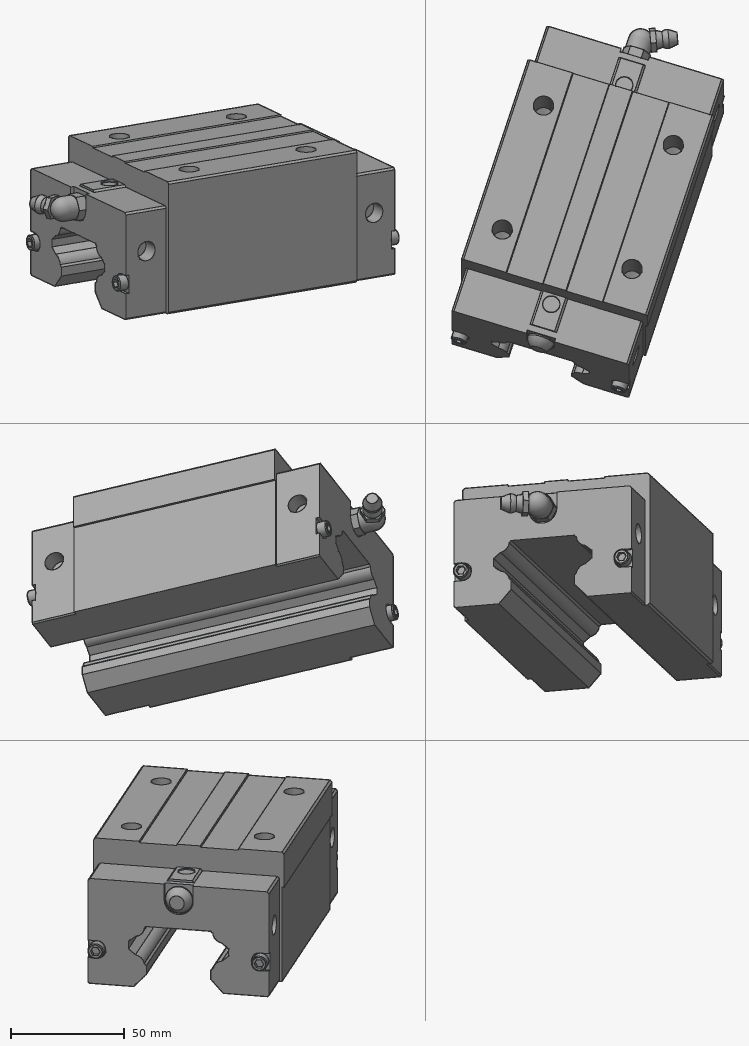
import cadquery as cq
import math

block_width = 86.0
block_length = 96.5
block_height = 60.5
block_chamfer = 1.0
reference_step_depth = 1.0
reference_step_height = 44.2

groove_inner_x = 5.2
groove_outer_x = 22.4
groove_depth = 0.6
groove_flank = 0.3

mount_spacing = 60.0
mount_diameter = 8.8
mount_depth = 17.0
drill_tip_angle = 118.0

cap_width = 81.7
cap_height = 49.0
cap_top_chamfer = 1.0
cap_bottom_chamfer = 0.6
cap_length = 16.2
plate_thickness = 4.4
cap_end_y = block_length / 2 + cap_length
plate_end_y = cap_end_y + plate_thickness

pad_width = 12.3
pad_height = 1.0
port_diameter = 7.5
port_depth = 0.6
port_y = 53.0

side_hole_diameter = 8.8
side_hole_depth = 7.9
side_hole_y = 58.4
side_hole_z = 30.0

recess_depth = 1.5
recess_floor_y = plate_end_y - recess_depth
grease_recess_radius = 6.5
grease_z = 41.8

screw_x = 36.9
screw_z = 16.1
screw_head_radius = 3.5
screw_recess_radius = 4.1
screw_protrusion = 2.8
screw_chamfer = 0.5
socket_diameter = 4.3
socket_depth = 1.9

base_hex_diameter = 12.3
base_hex_length = 4.5
elbow_radius = 5.5
elbow_center_y = -76.8
arm_angle = 22.5
arm_hex_diameter = 11.0
arm_hex_start = 4.3
arm_hex_end = 6.8
arm_neck_start_radius = 4.3
arm_neck_end = 9.6
arm_neck_radius = 3.5
arm_crown_position = 10.9
arm_crown_radius = 4.1
arm_bulge_end = 12.3
arm_bulge_radius = 4.3
arm_length = 16.2
arm_tip_radius = 2.7

plug_radius = 6.2
plug_rim_length = 0.6
plug_shoulder_radius = 5.4
plug_shoulder_length = 2.7
plug_top_radius = 3.3
plug_length = 4.9

channel_mouth_x = 20.2
channel_throat_x = 14.5
channel_throat_z = (6.2, 10.3)
channel_roof_z = 28.5
channel_roof_chamfer = 1.0
lip_x = 15.5
lip_round_x = 16.7
lip_root_x = 19.4
groove_bottom_x = 22.5
groove_bottom_half_height = 1.7
groove_center_z = 19.2
lip_root_rise = 4.3
lip_round_rise = 5.7
lip_edge_rise = 8.0


def extrude_along_y(points, length):
    """Extrude a closed XZ outline by the given length, centred on Y = 0."""
    return cq.Workplane("XZ").polyline(points).close().extrude(length / 2, both=True)


def box_between(x_range, y_range, z_range):
    size = [high - low for low, high in (x_range, y_range, z_range)]
    corner = (x_range[0], y_range[0], z_range[0])
    return cq.Workplane("XY").box(*size, centered=False).translate(corner)


def cylinder_along_y(radius, x, z, y_start, y_end):
    plane = cq.Workplane("XZ", origin=(x, y_start, z))
    return plane.circle(radius).extrude(y_start - y_end)


def make_block():
    half = block_width / 2
    lower_left = -half + reference_step_depth
    block = extrude_along_y([
        (lower_left, 0),
        (half - block_chamfer, 0),
        (half, block_chamfer),
        (half, block_height - block_chamfer),
        (half - block_chamfer, block_height),
        (-half + block_chamfer, block_height),
        (-half, block_height - block_chamfer),
        (-half, reference_step_height),
        (lower_left, reference_step_height),
    ], block_length)
    groove_floor = block_height - groove_depth
    for side in (-1, 1):
        block = block.cut(extrude_along_y([
            (side * groove_inner_x, block_height),
            (side * (groove_inner_x + groove_flank), groove_floor),
            (side * (groove_outer_x - groove_flank), groove_floor),
            (side * groove_outer_x, block_height),
        ], block_length))
    return block


def make_mounting_holes():
    radius = mount_diameter / 2
    tip_length = radius / math.tan(math.radians(drill_tip_angle / 2))
    drill = (
        cq.Workplane("XZ")
        .moveTo(0, block_height)
        .lineTo(radius, block_height)
        .lineTo(radius, block_height - mount_depth)
        .lineTo(0, block_height - mount_depth - tip_length)
        .close()
        .revolve(360, (0, 0, 0), (0, 1, 0))
    )
    half = mount_spacing / 2
    holes = cq.Workplane("XY")
    for x in (-half, half):
        for y in (-half, half):
            holes = holes.add(drill.translate((x, y, 0)))
    return holes.combine()


def make_caps():
    half = cap_width / 2
    caps = extrude_along_y([
        (-half + cap_bottom_chamfer, 0),
        (half - cap_bottom_chamfer, 0),
        (half, cap_bottom_chamfer),
        (half, cap_height - cap_top_chamfer),
        (half - cap_top_chamfer, cap_height),
        (-half + cap_top_chamfer, cap_height),
        (-half, cap_height - cap_top_chamfer),
        (-half, cap_bottom_chamfer),
    ], 2 * plate_end_y)
    pad_half = pad_width / 2
    pads = extrude_along_y([
        (-pad_half, cap_height),
        (pad_half, cap_height),
        (pad_half - pad_height, cap_height + pad_height),
        (-pad_half + pad_height, cap_height + pad_height),
    ], 2 * cap_end_y)
    return caps.union(pads)


def cut_cap_ports(body):
    port_floor = cap_height + pad_height - port_depth
    ports = (
        cq.Workplane("XY", origin=(0, 0, port_floor))
        .pushPoints([(0, -port_y), (0, port_y)])
        .circle(port_diameter / 2)
        .extrude(port_depth)
    )
    body = body.cut(ports)
    for side in (-1, 1):
        side_holes = (
            cq.Workplane("YZ", origin=(side * cap_width / 2, 0, 0))
            .pushPoints([(-side_hole_y, side_hole_z), (side_hole_y, side_hole_z)])
            .circle(side_hole_diameter / 2)
            .extrude(-side * side_hole_depth)
        )
        body = body.cut(side_holes)
    return body


def make_channel():
    low, high = channel_throat_z
    groove_low = groove_center_z - groove_bottom_half_height
    groove_high = groove_center_z + groove_bottom_half_height
    half_channel = (
        cq.Workplane("XZ")
        .lineTo(channel_mouth_x, 0)
        .lineTo(channel_throat_x, low)
        .lineTo(channel_throat_x, high)
        .lineTo(lip_x, groove_center_z - lip_edge_rise)
        .threePointArc(
            (lip_round_x, groove_center_z - lip_round_rise),
            (lip_root_x, groove_center_z - lip_root_rise),
        )
        .lineTo(groove_bottom_x, groove_low)
        .lineTo(groove_bottom_x, groove_high)
        .lineTo(lip_root_x, groove_center_z + lip_root_rise)
        .threePointArc(
            (lip_round_x, groove_center_z + lip_round_rise),
            (lip_x, groove_center_z + lip_edge_rise),
        )
        .lineTo(lip_x, channel_roof_z - channel_roof_chamfer)
        .lineTo(lip_x - channel_roof_chamfer, channel_roof_z)
        .lineTo(0, channel_roof_z)
        .close()
        .extrude(plate_end_y, both=True)
    )
    return half_channel.union(half_channel.mirror("YZ"))


def cut_plate_recesses(body, end):
    """Cut the open-sided recesses in the end plate at end = -1 (-Y) or +1 (+Y)."""
    y_floor = end * recess_floor_y
    y_face = end * plate_end_y
    y_range = sorted((y_floor, y_face))
    grease_x_range = (-grease_recess_radius, grease_recess_radius)
    body = body.cut(cylinder_along_y(grease_recess_radius, 0, grease_z, y_floor, y_face))
    body = body.cut(box_between(grease_x_range, y_range, (grease_z, cap_height)))
    screw_z_range = (screw_z - screw_recess_radius, screw_z + screw_recess_radius)
    for side in (-1, 1):
        x = side * screw_x
        x_range = sorted((x, side * cap_width / 2))
        body = body.cut(cylinder_along_y(screw_recess_radius, x, screw_z, y_floor, y_face))
        body = body.cut(box_between(x_range, y_range, screw_z_range))
    return body


def make_screw_head(x, end):
    y_seat = end * recess_floor_y
    y_top = end * (plate_end_y + screw_protrusion)
    top_face = ">Y" if end > 0 else "<Y"
    head = cylinder_along_y(screw_head_radius, x, screw_z, y_seat, y_top)
    head = head.faces(top_face).chamfer(screw_chamfer)
    socket = (
        cq.Workplane("XZ", origin=(x, y_top, screw_z))
        .polygon(6, socket_diameter)
        .extrude(end * socket_depth)
    )
    return head.cut(socket)


def make_nipple_arm():
    """Arm along local +Z, starting at the centre of the elbow dome."""
    hexagon = (
        cq.Workplane("XY", origin=(0, 0, arm_hex_start))
        .polygon(6, arm_hex_diameter)
        .extrude(arm_hex_end - arm_hex_start)
    )
    stem = (
        cq.Workplane("XZ")
        .moveTo(0, arm_hex_start)
        .lineTo(arm_neck_start_radius, arm_hex_start)
        .lineTo(arm_neck_start_radius, arm_hex_end)
        .lineTo(arm_neck_radius, arm_neck_end)
        .threePointArc((arm_crown_radius, arm_crown_position), (arm_bulge_radius, arm_bulge_end))
        .lineTo(arm_tip_radius, arm_length)
        .lineTo(0, arm_length)
        .close()
        .revolve(360, (0, 0, 0), (0, 1, 0))
    )
    return stem.union(hexagon)


def make_nipple():
    seat_y = -recess_floor_y
    base = (
        cq.Workplane("XZ", origin=(0, seat_y, grease_z))
        .polygon(6, base_hex_diameter)
        .extrude(base_hex_length)
    )
    elbow_start_y = seat_y - base_hex_length
    elbow = cylinder_along_y(elbow_radius, 0, grease_z, elbow_start_y, elbow_center_y)
    dome = cq.Workplane("XY").sphere(elbow_radius).translate((0, elbow_center_y, grease_z))
    angle = math.radians(arm_angle)
    arm_plane = cq.Plane(
        origin=(0, elbow_center_y, grease_z),
        xDir=(math.sin(angle), -math.cos(angle), 0),
        normal=(-math.cos(angle), -math.sin(angle), 0),
    )
    arm = cq.Workplane(obj=make_nipple_arm().val().located(cq.Location(arm_plane)))
    return base.union(elbow).union(dome).union(arm)


def make_plug():
    return (
        cq.Workplane("XY", origin=(0, recess_floor_y, grease_z))
        .lineTo(plug_radius, 0)
        .lineTo(plug_radius, plug_rim_length)
        .threePointArc((plug_shoulder_radius, plug_shoulder_length), (plug_top_radius, plug_length))
        .lineTo(0, plug_length)
        .close()
        .revolve(360, (0, 0, 0), (0, 1, 0))
    )


body = make_block().union(make_caps())
body = body.cut(make_mounting_holes())
body = cut_cap_ports(body)
body = body.cut(make_channel())

for end in (-1, 1):
    body = cut_plate_recesses(body, end)
    for side in (-1, 1):
        body = body.union(make_screw_head(side * screw_x, end))

result = body.union(make_nipple()).union(make_plug())